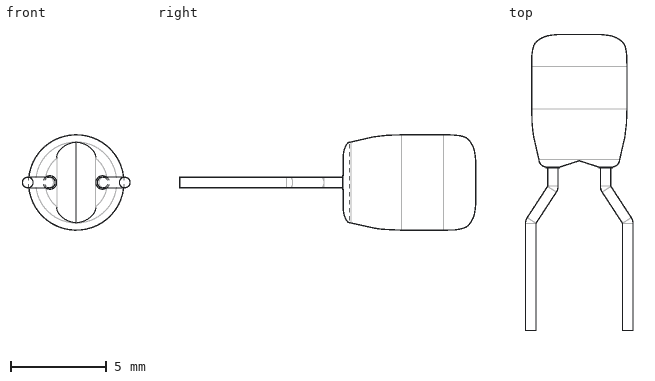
import cadquery as cq

body_diameter = 5.0
body_radius = body_diameter / 2
body_length = 6.93
belt_front = 3.05
belt_back = 5.24
neck_radius = 2.12
neck_y = 0.4
lead_face_radius = 1.62
back_face_radius = 1.16

face_rounding_mid = (1.98, 0.11)
taper_mid = (2.4, 1.62)
taper_start_direction = (0.25, 1)
dome_points = [(2.45, 6.14), (2.32, 6.46), (2.03, 6.71)]
dome_end_direction = (-1, 0.1)
axial_direction = (0, 1)

groove_half_width = 1.0
groove_depth = 0.32
groove_overcut = 0.31

overall_length = 15.46
overall_width = 5.63
lead_radius = 0.28
lead_root_x = 1.38
lead_tip_x = overall_width / 2 - lead_radius
lead_tip_y = body_length - overall_length
first_bend_y = -1.08
second_bend_y = -2.86
bend_radius = 0.3
lead_embedding = 0.77
collar_radius = 0.35
collar_height = 0.05


def barrel():
    """Revolve the half profile: rounded lead face, tapered neck, straight belt, domed back."""
    profile = (
        cq.Workplane("XY")
        .lineTo(lead_face_radius, 0)
        .threePointArc(face_rounding_mid, (neck_radius, neck_y))
        .spline(
            [taper_mid, (body_radius, belt_front)],
            tangents=[taper_start_direction, axial_direction],
            includeCurrent=True,
        )
        .lineTo(body_radius, belt_back)
        .spline(
            [*dome_points, (back_face_radius, body_length)],
            tangents=[axial_direction, dome_end_direction],
            includeCurrent=True,
        )
        .lineTo(0, body_length)
        .close()
    )
    return profile.revolve(360, (0, 0, 0), (0, 1, 0))


def groove():
    """V-shaped prism running along Z, with its apex inside the body and its mouth clear of the lead face."""
    mouth_half_width = groove_half_width * (groove_depth + groove_overcut) / groove_depth
    return (
        cq.Workplane("XY")
        .moveTo(-mouth_half_width, -groove_overcut)
        .lineTo(0, groove_depth)
        .lineTo(mouth_half_width, -groove_overcut)
        .close()
        .extrude(body_radius, both=True)
    )


def lead(side):
    """Bent round wire with its root collar; side is +1 or -1 along X."""
    root_x = side * lead_root_x
    tip_x = side * lead_tip_x
    centreline = cq.Wire.makePolygon(
        [
            cq.Vector(root_x, lead_embedding, 0),
            cq.Vector(root_x, first_bend_y, 0),
            cq.Vector(tip_x, second_bend_y, 0),
            cq.Vector(tip_x, lead_tip_y, 0),
        ]
    )
    rounded = centreline.fillet(bend_radius, centreline.Vertices()[1:-1])
    wire = (
        cq.Workplane("XZ", origin=(root_x, lead_embedding, 0))
        .circle(lead_radius)
        .sweep(cq.Workplane(rounded))
    )
    collar = (
        cq.Workplane("XZ", origin=(root_x, lead_embedding, 0))
        .circle(collar_radius)
        .extrude(lead_embedding + collar_height)
    )
    return wire.union(collar)


result = barrel().cut(groove())
for side in (-1, 1):
    result = result.union(lead(side))